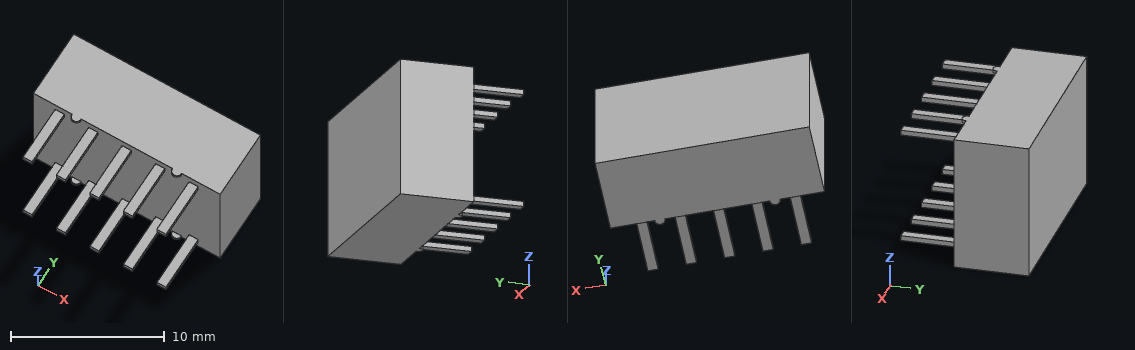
import cadquery as cq

housing_length = 14.2
housing_height = 9.2
housing_depth = 5.05

pins_per_row = 5
pin_pitch = 2.54
row_spacing = 3 * pin_pitch
pin_width = 0.7
pin_thickness = 0.35
pin_length = 4.05

standoff_radius = 0.35
standoff_thickness = 0.2
standoff_spacing = 3 * pin_pitch


def make_housing():
    return cq.Workplane("XY").box(
        housing_length, housing_depth, housing_height, centered=(True, False, True)
    )


def make_pins():
    return (
        cq.Workplane("XZ")
        .rarray(pin_pitch, row_spacing, pins_per_row, 2)
        .rect(pin_width, pin_thickness)
        .extrude(pin_length)
    )


def make_standoff(x, z_bottom):
    return (
        cq.Workplane("XY", origin=(x, 0, z_bottom))
        .moveTo(-standoff_radius, 0)
        .threePointArc((0, -standoff_radius), (standoff_radius, 0))
        .close()
        .extrude(standoff_thickness)
    )


result = make_housing().union(make_pins())

bottom_standoff_z = -housing_height / 2
top_standoff_z = housing_height / 2 - standoff_thickness
for standoff_x in (-standoff_spacing / 2, standoff_spacing / 2):
    for standoff_z in (bottom_standoff_z, top_standoff_z):
        result = result.union(make_standoff(standoff_x, standoff_z))